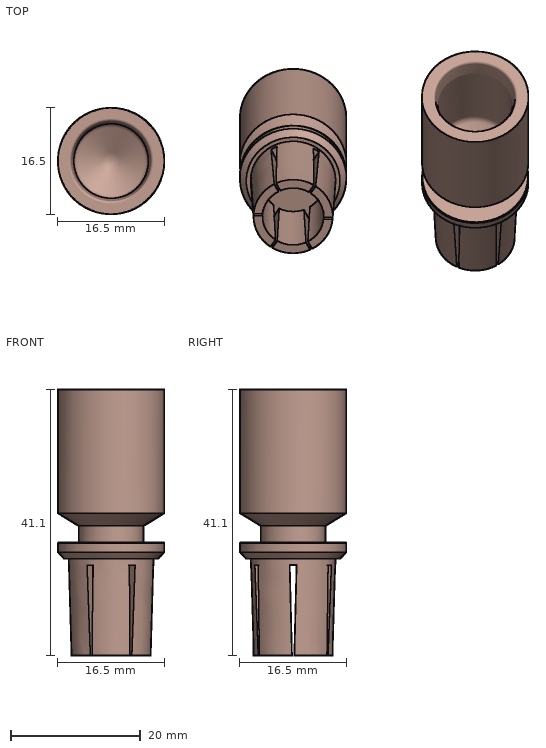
import cadquery as cq
import math

total_height = 41.1
body_bottom = 22.0
neck_top = 20.0
collar_top = 17.45
collar_chamfer_top = 16.0
collar_bottom = 14.9
slot_top = 13.97

body_radius = 16.5 / 2
neck_radius = 5.0
collar_bottom_radius = 7.25
collar_edge_chamfer = 0.12
collet_top_radius = 6.58
collet_bottom_radius = 6.12

lip_fillet = 0.4
mouth_radius = 6.15
mouth_depth = 2.45
socket_radius = 5.75
socket_tip_level = 22.2
floor_angle = math.radians(30)
floor_fillet = 1.05

collet_bore_radius = 4.73
slot_count = 6
slot_top_width = 1.03
slot_bottom_width = 0.33


def outer_body():
    """Revolved body, neck, collar and tapered collet."""
    profile = [
        (0, 0),
        (collet_bottom_radius, 0),
        (collet_top_radius, collar_bottom),
        (collar_bottom_radius, collar_bottom),
        (body_radius, collar_chamfer_top),
        (body_radius, collar_top - collar_edge_chamfer),
        (body_radius - collar_edge_chamfer, collar_top),
        (neck_radius, collar_top),
        (neck_radius, neck_top),
        (body_radius, body_bottom),
        (body_radius, total_height),
        (0, total_height),
    ]
    return cq.Workplane("XZ").polyline(profile).close().revolve(360, (0, 0), (0, 1))


def socket():
    """Blind socket with a rounded lip, a tapered mouth and a filleted conical floor."""
    floor_radius = socket_radius - floor_fillet * (1 - math.sin(floor_angle))
    floor_level = socket_tip_level + floor_radius * math.tan(floor_angle)
    fillet_level = floor_level + floor_fillet * math.cos(floor_angle)
    return (
        cq.Workplane("XZ")
        .moveTo(0, total_height)
        .lineTo(mouth_radius + lip_fillet, total_height)
        .radiusArc((mouth_radius, total_height - lip_fillet), -lip_fillet)
        .lineTo(socket_radius, total_height - mouth_depth)
        .lineTo(socket_radius, fillet_level)
        .radiusArc((floor_radius, floor_level), floor_fillet)
        .lineTo(0, socket_tip_level)
        .close()
        .revolve(360, (0, 0), (0, 1))
    )


def collet_bore():
    """Blind bore, as deep as the slots, that separates the collet fingers."""
    return cq.Workplane("XY").circle(collet_bore_radius).extrude(slot_top)


def collet_slot(angle):
    """One radial slot that narrows toward the open end of the collet."""
    profile = [
        (-slot_bottom_width / 2, 0),
        (slot_bottom_width / 2, 0),
        (slot_top_width / 2, slot_top),
        (-slot_top_width / 2, slot_top),
    ]
    slot = cq.Workplane("YZ").polyline(profile).close().extrude(body_radius)
    return slot.rotate((0, 0, 0), (0, 0, 1), angle)


result = outer_body().cut(socket()).cut(collet_bore())
for index in range(slot_count):
    result = result.cut(collet_slot(index * 360 / slot_count))